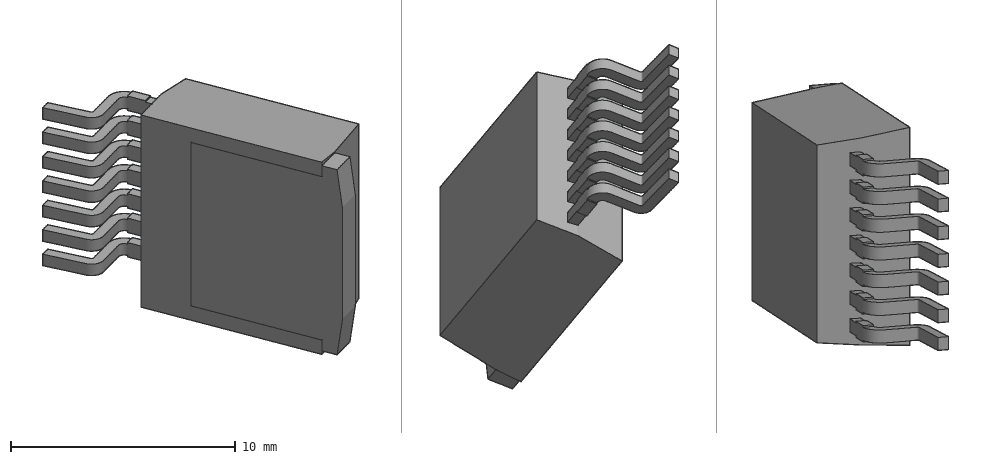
import cadquery as cq
import math


body_length = 9.05
body_width = 10.0
body_depth = 4.4
parting_depth = 2.4
lead_wall_overhang = 0.21
tab_wall_draft = 7.0
side_wall_draft = 6.0

overall_length = 14.95
lead_reach = 4.87
tab_end = overall_length - lead_reach
tab_thickness = 1.27
pad_start = 2.5
pad_width = 8.5
head_width = 9.63
head_tip_width = 5.8
head_taper_length = 0.27

lead_count = 7
lead_pitch = 1.27
lead_width = 0.6
lead_thickness = 0.5
foot_drop = 0.1
foot_slope = 4.0
riser_offset = 2.17
shoulder_inner_radius = 0.3
shoulder_outer_radius = shoulder_inner_radius + lead_thickness
heel_inner_radius = 0.1
heel_outer_radius = heel_inner_radius + lead_thickness
collar_width = 0.75
collar_length = 0.9


def draft_run(depth, angle):
    return depth * math.tan(math.radians(angle))


def extrude_across(profile, width):
    """Extrude an XY profile by the given width, centred on Z = 0."""
    return profile.extrude(width / 2, both=True)


def make_tab():
    half_head = head_width / 2
    half_tip = head_tip_width / 2
    taper_start = tab_end - head_taper_length
    pad = cq.Workplane("XY").box(
        body_length - pad_start, tab_thickness, pad_width, centered=(False, False, True)
    ).translate((pad_start, 0, 0))
    head = (
        cq.Workplane("XZ")
        .polyline([
            (body_length, -half_head),
            (taper_start, -half_head),
            (tab_end, -half_tip),
            (tab_end, half_tip),
            (taper_start, half_head),
            (body_length, half_head),
        ])
        .close()
        .extrude(-tab_thickness)
    )
    return pad.union(head)


def make_housing(tab):
    lead_wall_x = -lead_wall_overhang
    back_end = body_length - draft_run(body_depth - tab_thickness, tab_wall_draft)
    block = extrude_across(
        cq.Workplane("XY").polyline([
            (0, 0),
            (body_length, 0),
            (body_length, tab_thickness),
            (back_end, body_depth),
            (0, body_depth),
            (lead_wall_x, parting_depth),
        ]).close(),
        body_width,
    )
    half_front = body_width / 2
    half_back = half_front - draft_run(body_depth, side_wall_draft)
    side_envelope = (
        cq.Workplane("YZ")
        .polyline([
            (0, -half_front),
            (body_depth, -half_back),
            (body_depth, half_back),
            (0, half_front),
        ])
        .close()
        .extrude(overall_length, both=True)
    )
    return block.intersect(side_envelope).cut(tab)


def make_lead(housing):
    """Gull-wing lead centred on Z = 0, trimmed to butt against the housing wall."""
    slope = math.radians(foot_slope)
    foot_angle = slope - math.pi / 2
    tip_x = -lead_reach
    riser_outer = tip_x + riser_offset
    riser_inner = riser_outer + lead_thickness
    run_low = parting_depth
    run_high = run_low + lead_thickness
    run_end = 0

    heel_x = riser_outer - heel_inner_radius
    tip_low = -foot_drop
    tip_high = tip_low + lead_thickness / math.cos(slope)
    heel_y = tip_high + (heel_x - tip_x) * math.tan(slope) + heel_inner_radius / math.cos(slope)
    heel_mid_angle = foot_angle / 2

    shoulder_x = riser_outer + shoulder_outer_radius
    shoulder_y = run_high - shoulder_outer_radius
    shoulder_mid_angle = 0.75 * math.pi

    def heel_point(radius, angle):
        return heel_x + radius * math.cos(angle), heel_y + radius * math.sin(angle)

    def shoulder_mid(radius):
        return (
            shoulder_x + radius * math.cos(shoulder_mid_angle),
            shoulder_y + radius * math.sin(shoulder_mid_angle),
        )

    profile = (
        cq.Workplane("XY")
        .moveTo(tip_x, tip_low)
        .lineTo(*heel_point(heel_outer_radius, foot_angle))
        .threePointArc(heel_point(heel_outer_radius, heel_mid_angle), (riser_inner, heel_y))
        .lineTo(riser_inner, shoulder_y)
        .threePointArc(shoulder_mid(shoulder_inner_radius), (shoulder_x, run_low))
        .lineTo(run_end, run_low)
        .lineTo(run_end, run_high)
        .lineTo(shoulder_x, run_high)
        .threePointArc(shoulder_mid(shoulder_outer_radius), (riser_outer, shoulder_y))
        .lineTo(riser_outer, heel_y)
        .threePointArc(
            heel_point(heel_inner_radius, heel_mid_angle),
            heel_point(heel_inner_radius, foot_angle),
        )
        .lineTo(tip_x, tip_high)
        .close()
    )
    collar = cq.Workplane("XY").box(
        collar_length, lead_thickness, collar_width, centered=(False, False, True)
    ).translate((shoulder_x, run_low, 0))
    return extrude_across(profile, lead_width).union(collar).cut(housing)


tab = make_tab()
housing = make_housing(tab)
lead = make_lead(housing)

leads = []
for index in range(lead_count):
    lead_z = (index - (lead_count - 1) / 2) * lead_pitch
    leads.append(lead.translate((0, 0, lead_z)))

result = cq.Compound.makeCompound([housing.val(), tab.val(), *[item.val() for item in leads]])